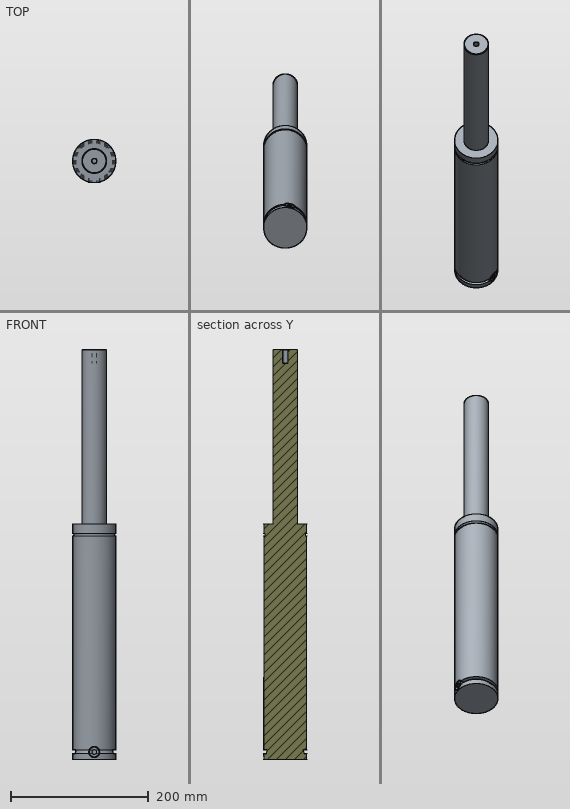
import cadquery as cq

total_height = 595.0
body_diameter = 63.0
body_radius = body_diameter / 2
body_height = 342.0
rod_diameter = 36.0
rod_end_chamfer = 1.0

upper_groove_height = body_height - 16.0
upper_groove_width = 4.0
upper_groove_depth = 2.0

lower_groove_bottom = 8.5
lower_groove_top = 14.0
lower_groove_top_depth = 5.0
lower_groove_bottom_depth = 3.5

port_height = 11.0
boss_diameter = 16.0
boss_length = 12.0
port_recess_diameter = 14.0
port_recess_depth = 0.5
port_bore_diameter = 6.8
port_bore_depth = 1.0

rod_hole_diameter = 6.8
rod_hole_mouth_diameter = 8.0
rod_hole_depth = 20.0


def make_body_and_rod():
    body = cq.Workplane("XY").circle(body_radius).extrude(body_height)
    rod = cq.Workplane("XY").circle(rod_diameter / 2).extrude(total_height)
    rod = rod.faces(">Z").chamfer(rod_end_chamfer)
    return body.union(rod)


def revolve_about_z(profile):
    """Close an XZ outline and turn it once around the part axis."""
    return profile.close().revolve(360, (0, 0, 0), (0, 1, 0))


def upper_groove_cutter():
    half_width = upper_groove_width / 2
    profile = (
        cq.Workplane("XZ")
        .moveTo(body_radius, upper_groove_height - half_width)
        .threePointArc(
            (body_radius - upper_groove_depth, upper_groove_height),
            (body_radius, upper_groove_height + half_width),
        )
    )
    return revolve_about_z(profile)


def lower_groove_cutter():
    profile = (
        cq.Workplane("XZ")
        .moveTo(body_radius, lower_groove_top)
        .lineTo(body_radius - lower_groove_top_depth, lower_groove_top)
        .lineTo(body_radius - lower_groove_bottom_depth, lower_groove_bottom)
        .lineTo(body_radius, lower_groove_bottom)
    )
    return revolve_about_z(profile)


def port_cylinder(diameter, length):
    """Cylinder running from the boss face into the body."""
    return (
        cq.Workplane("XZ", origin=(0, -body_radius, port_height))
        .circle(diameter / 2)
        .extrude(-length)
    )


def rod_hole_cutter():
    hole_radius = rod_hole_diameter / 2
    mouth_radius = rod_hole_mouth_diameter / 2
    cone_depth = mouth_radius - hole_radius
    profile = (
        cq.Workplane("XZ")
        .moveTo(0, total_height)
        .lineTo(mouth_radius, total_height)
        .lineTo(hole_radius, total_height - cone_depth)
        .lineTo(hole_radius, total_height - rod_hole_depth)
        .lineTo(0, total_height - rod_hole_depth)
    )
    return revolve_about_z(profile)


result = make_body_and_rod()
result = result.cut(upper_groove_cutter())
result = result.cut(lower_groove_cutter())
result = result.union(port_cylinder(boss_diameter, boss_length))
result = result.cut(port_cylinder(port_recess_diameter, port_recess_depth))
result = result.cut(port_cylinder(port_bore_diameter, port_bore_depth))
result = result.cut(rod_hole_cutter())